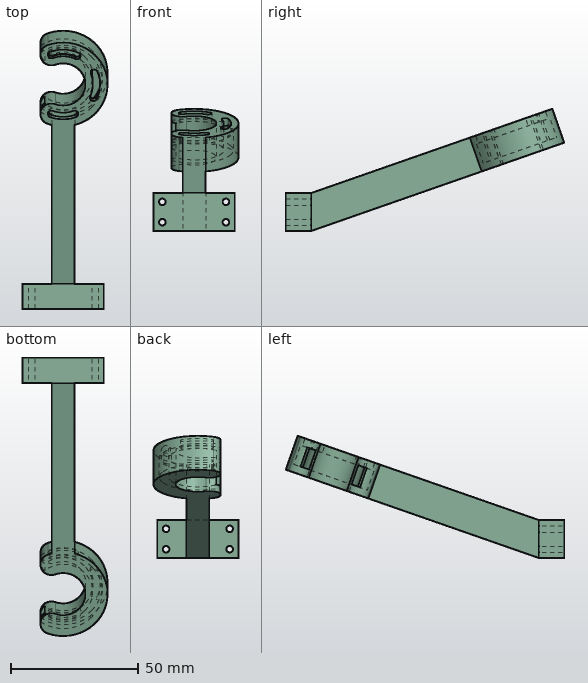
import cadquery as cq
import math

PLATE_WIDTH = 32.0
PLATE_DEPTH = 10.0
PLATE_HEIGHT = 15.0
HOLE_DIAMETER = 2.5
HOLE_SPACING_X = 25.0
HOLE_SPACING_Z = 8.0

TILT = 19.25
ARM_WIDTH = 9.0
REACH = 99.53
THICKNESS = PLATE_HEIGHT * math.cos(math.radians(TILT))
LENGTH = REACH / math.cos(math.radians(TILT))

OUTER_RADIUS = 17.5
INNER_RADIUS = 8.75
MID_RADIUS = (OUTER_RADIUS + INNER_RADIUS) / 2
HOOK_WIDTH = OUTER_RADIUS - INNER_RADIUS
TIP_ANGLE = 110.5
HOOK_CENTRE_V = LENGTH - OUTER_RADIUS

CHANNEL_OUTER_RADIUS = 15.3
CHANNEL_INNER_RADIUS = 11.5
CHANNEL_HEIGHT = 8.0
CHANNEL_FLOOR = (THICKNESS - CHANNEL_HEIGHT) / 2

SLOT_WIDTH = 2.8
SLOT_SPANS = [(-110.4, -70.0), (-24.7, 21.7), (65.4, 110.4)]


def hook_point(radius, angle, advance=0.0):
    """Point at a radius and angle around the hook centre, moved along the tangent there."""
    a = math.radians(angle)
    u = radius * math.cos(a) - advance * math.sin(a)
    v = radius * math.sin(a) + advance * math.cos(a)
    return (u, HOOK_CENTRE_V + v)


def round_ended_band(width, start, end):
    """Outline of a band along the middle circle of the hook, with round ends."""
    middle = (start + end) / 2
    outer = MID_RADIUS + width / 2
    inner = MID_RADIUS - width / 2
    return (
        cq.Workplane("XY")
        .moveTo(*hook_point(outer, start))
        .threePointArc(hook_point(outer, middle), hook_point(outer, end))
        .threePointArc(hook_point(MID_RADIUS, end, width / 2), hook_point(inner, end))
        .threePointArc(hook_point(inner, middle), hook_point(inner, start))
        .threePointArc(hook_point(MID_RADIUS, start, -width / 2), hook_point(outer, start))
        .close()
    )


def make_plate():
    """Plate with a through hole near each corner."""
    plate = (
        cq.Workplane("XY", origin=(0, -PLATE_DEPTH, 0))
        .box(PLATE_WIDTH, PLATE_DEPTH, PLATE_HEIGHT, centered=(True, False, False))
    )
    return (
        plate.faces("<Y").workplane(centerOption="CenterOfBoundBox")
        .rarray(HOLE_SPACING_X, HOLE_SPACING_Z, 2, 2)
        .hole(HOLE_DIAMETER)
    )


def make_arm():
    """Arm in the untilted frame, with its near end cut to lie flush on the plate."""
    setback = PLATE_HEIGHT * math.sin(math.radians(TILT))
    arm_end = HOOK_CENTRE_V - MID_RADIUS
    profile = [(0, 0), (arm_end, 0), (arm_end, THICKNESS), (setback, THICKNESS)]
    return cq.Workplane("YZ").polyline(profile).close().extrude(ARM_WIDTH / 2, both=True)


def make_channel():
    """Full ring, so that it passes out through both tips of the hook."""
    return (
        cq.Workplane("XY", origin=(0, HOOK_CENTRE_V, CHANNEL_FLOOR))
        .circle(CHANNEL_OUTER_RADIUS)
        .circle(CHANNEL_INNER_RADIUS)
        .extrude(CHANNEL_HEIGHT)
    )


def make_hanger():
    """Arm and hook, tilted up about the lower back edge of the plate."""
    hook = round_ended_band(HOOK_WIDTH, -TIP_ANGLE, TIP_ANGLE).extrude(THICKNESS)
    hanger = hook.union(make_arm()).cut(make_channel())
    slot_floor = CHANNEL_FLOOR + CHANNEL_HEIGHT / 2
    for start, end in SLOT_SPANS:
        slot = round_ended_band(SLOT_WIDTH, start, end).extrude(THICKNESS - slot_floor)
        hanger = hanger.cut(slot.translate((0, 0, slot_floor)))
    return hanger.rotate((0, 0, 0), (1, 0, 0), TILT)


result = make_plate().union(make_hanger())